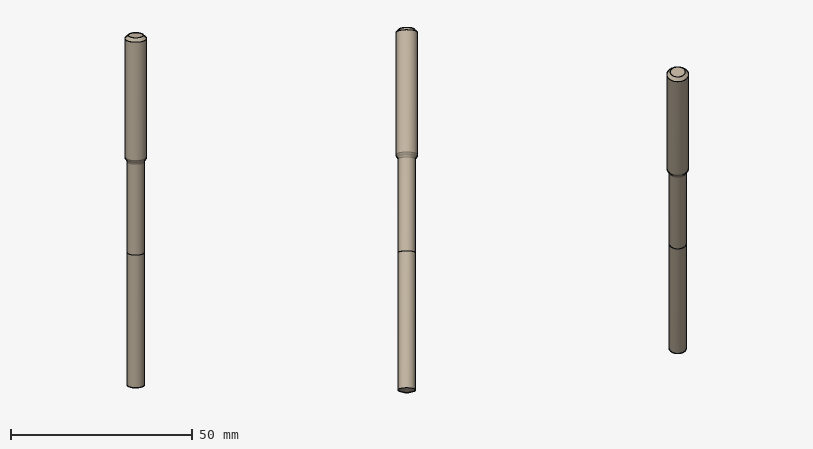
import cadquery as cq
import math

total_length = 104.0
joint_height = 40.0
neck_top = 66.9
shoulder_height = 1.2

shank_radius = 6.0 / 2
neck_radius = 4.9 / 2

top_chamfer = 0.9
point_angle = 140.0
point_height = neck_radius / math.tan(math.radians(point_angle / 2))


def make_cutting_rod():
    """Lower rod with a conical point, ending in a flat face at the joint."""
    return (
        cq.Workplane("XZ")
        .moveTo(0, 0)
        .lineTo(neck_radius, point_height)
        .lineTo(neck_radius, joint_height)
        .lineTo(0, joint_height)
        .close()
        .revolve(360, (0, 0), (0, 1))
    )


def make_holder():
    """Upper neck and wider shank, joined by an S-shaped shoulder."""
    shoulder_top = neck_top + shoulder_height
    axial = (0, 1)
    profile = (
        cq.Workplane("XZ")
        .moveTo(0, joint_height)
        .lineTo(neck_radius, joint_height)
        .lineTo(neck_radius, neck_top)
        .spline([(shank_radius, shoulder_top)], tangents=[axial, axial], includeCurrent=True)
        .lineTo(shank_radius, total_length)
        .lineTo(0, total_length)
        .close()
    )
    holder = profile.revolve(360, (0, 0), (0, 1))
    return holder.faces(">Z").edges().chamfer(top_chamfer)


cutting_rod = make_cutting_rod()
holder = make_holder()

result = cq.Compound.makeCompound([cutting_rod.val(), holder.val()])